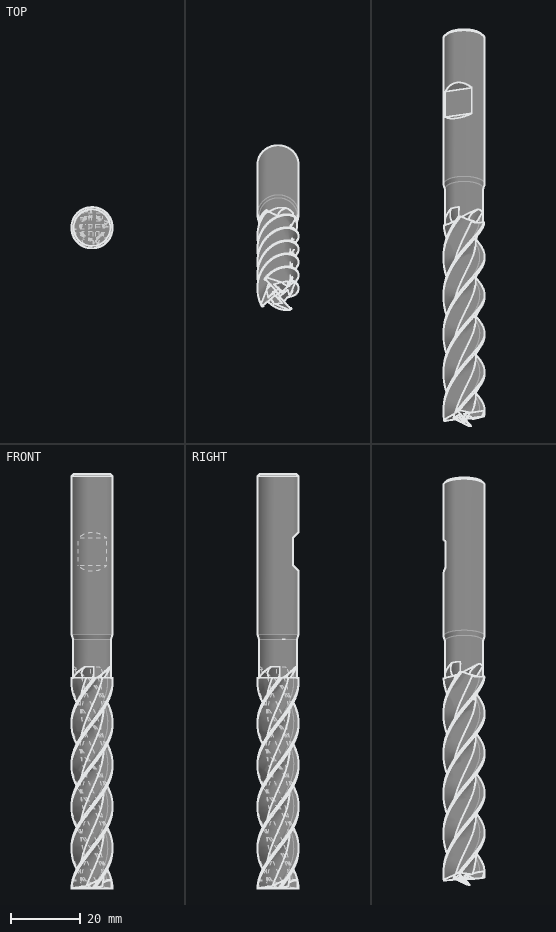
import cadquery as cq
import math

total_length = 120.0
diameter = 12.0
radius = diameter / 2

cutting_length = 61.0
tooth_count = 4
tooth_pitch_angle = 360.0 / tooth_count
helix_angle = 38.0
helix_lead = math.pi * diameter / math.tan(math.radians(helix_angle))
head_twist = 360.0 * cutting_length / helix_lead

land_angle = 6.6
back_hollow = 0.15
core_radius = 3.45
core_corner_angle = 56.0
rake_foot_radius = 4.5
rake_foot_angle = 1.0

gash_height = 2.5
gash_top_setback = 2.0
gash_flank_angle = 25.0
gash_inner_radius = 1.0
gash_outer_radius = 5.6
end_edge_setback = 0.25
end_relief_angle = 15.0

neck_radius = 5.55
neck_top = 72.2
neck_cone_height = 1.4

runout_height = 3.2
runout_twist = 54.0
runout_floor_radius = 3.6
runout_overlap = 0.5

shank_bottom = neck_top + neck_cone_height
end_chamfer = 0.7

flat_depth = 1.6
flat_length = 8.0
flat_center_from_end = 22.5


def polar(r, angle):
    a = math.radians(angle)
    return cq.Vector(r * math.cos(a), r * math.sin(a))


def xy(point):
    return (point.x, point.y)


def flute_root_middle(core_corner, rake_foot, tip):
    """Middle of the flute root arc, which runs tangent into the rake face at its foot."""
    rake = (tip - rake_foot).normalized()
    inward = cq.Vector(rake.y, -rake.x)
    chord = core_corner - rake_foot
    root_radius = chord.dot(chord) / (2 * chord.dot(inward))
    center = rake_foot + inward * root_radius
    bisector = (core_corner - center + rake_foot - center).normalized()
    return center + bisector * root_radius


def back_middle(land_end, core_corner):
    """Middle of the slightly hollow tooth back."""
    chord = (core_corner - land_end).normalized()
    hollow_direction = cq.Vector(-chord.y, chord.x)
    return (land_end + core_corner) * 0.5 + hollow_direction * back_hollow


def land_end(edge):
    return polar(radius, edge + land_angle)


def add_flute(outline, edge):
    """Continue an outline from a land end over the back, root and rake to the next tooth tip."""
    next_edge = edge + tooth_pitch_angle
    core_corner = polar(core_radius, edge + core_corner_angle)
    rake_foot = polar(rake_foot_radius, next_edge + rake_foot_angle)
    next_tip = polar(radius, next_edge)
    root_middle = flute_root_middle(core_corner, rake_foot, next_tip)
    outline = outline.threePointArc(xy(back_middle(land_end(edge), core_corner)), xy(core_corner))
    outline = outline.threePointArc(xy(root_middle), xy(rake_foot))
    return outline.lineTo(*xy(next_tip))


def head_section():
    """Cross-section of the head at its lower end, with the first leading edge on +X."""
    section = cq.Workplane("XY").moveTo(radius, 0)
    for tooth in range(tooth_count):
        edge = tooth * tooth_pitch_angle
        land_middle = polar(radius, edge + land_angle / 2)
        section = section.threePointArc(xy(land_middle), xy(land_end(edge)))
        section = add_flute(section, edge)
    return section.close()


def flute_section(height, edge):
    """Cross-section of one open flute at a height, behind the tooth whose tip is at edge."""
    section = cq.Workplane("XY", origin=(0, 0, height)).moveTo(*xy(land_end(edge)))
    section = add_flute(section, edge)
    opening_middle = polar(radius, edge + (land_angle + tooth_pitch_angle) / 2)
    return section.threePointArc(xy(opening_middle), xy(land_end(edge))).close()


def end_tooth_cutter():
    """Gash ahead of, and relief behind, the end tooth that lies along +X."""
    flank_width = gash_height / math.tan(math.radians(gash_flank_angle))
    gash = (
        cq.Workplane("YZ", origin=(gash_inner_radius, 0, 0))
        .moveTo(end_edge_setback, 0)
        .lineTo(gash_top_setback, gash_height)
        .lineTo(gash_top_setback - flank_width, 0)
        .close()
        .extrude(gash_outer_radius - gash_inner_radius)
    )
    relief_width = radius - end_edge_setback
    relief = (
        cq.Workplane("YZ")
        .moveTo(end_edge_setback, 0)
        .lineTo(radius, relief_width * math.tan(math.radians(end_relief_angle)))
        .lineTo(radius, 0)
        .close()
        .extrude(radius)
    )
    return gash.union(relief)


def make_head():
    head = head_section().twistExtrude(cutting_length, head_twist)
    cutter = end_tooth_cutter()
    for tooth in range(tooth_count):
        head = head.cut(cutter.rotate((0, 0, 0), (0, 0, 1), tooth * tooth_pitch_angle))
    return head


def make_runout_pocket():
    """One flute carried on into the neck: upright rake wall, swept back wall, rising floor."""
    bottom = cutting_length - runout_overlap
    height = runout_height + 2 * runout_overlap
    twist_rate = runout_twist / runout_height
    upright = flute_section(bottom, head_twist).extrude(height)
    swept_start = head_twist - twist_rate * runout_overlap
    swept = flute_section(bottom - runout_overlap, swept_start - twist_rate * runout_overlap)
    swept_height = height + 2 * runout_overlap
    swept = swept.twistExtrude(swept_height, twist_rate * swept_height)
    floor_slope = (neck_radius - runout_floor_radius) / runout_height
    overlap_growth = floor_slope * runout_overlap
    floor = (
        cq.Workplane("XY", origin=(0, 0, bottom))
        .circle(runout_floor_radius - overlap_growth)
        .workplane(offset=height)
        .circle(neck_radius + overlap_growth)
        .loft()
    )
    return upright.intersect(swept).cut(floor)


def make_flat():
    """Clamping flat cutter, a trapezoid across the full width of the shank."""
    center = total_length - flat_center_from_end
    inner_half = flat_length / 2
    outer_half = inner_half + flat_depth
    return (
        cq.Workplane("YZ")
        .moveTo(radius - flat_depth, center - inner_half)
        .lineTo(radius, center - outer_half)
        .lineTo(radius, center + outer_half)
        .lineTo(radius - flat_depth, center + inner_half)
        .close()
        .extrude(radius, both=True)
    )


def make_shank():
    """Neck and shank turned as one piece, then cut by the run-outs and the flat."""
    turned = (
        cq.Workplane("XZ")
        .moveTo(0, cutting_length)
        .lineTo(neck_radius, cutting_length)
        .lineTo(neck_radius, neck_top)
        .lineTo(radius, shank_bottom)
        .lineTo(radius, total_length - end_chamfer)
        .lineTo(radius - end_chamfer, total_length)
        .lineTo(0, total_length)
        .close()
        .revolve(360, (0, 0, 0), (0, 1, 0))
    )
    shank = turned.cut(make_flat())
    pocket = make_runout_pocket()
    for tooth in range(tooth_count):
        shank = shank.cut(pocket.rotate((0, 0, 0), (0, 0, 1), tooth * tooth_pitch_angle))
    return shank


head = make_head()
shank = make_shank()

result = cq.Compound.makeCompound([head.solids().val(), shank.solids().val()])